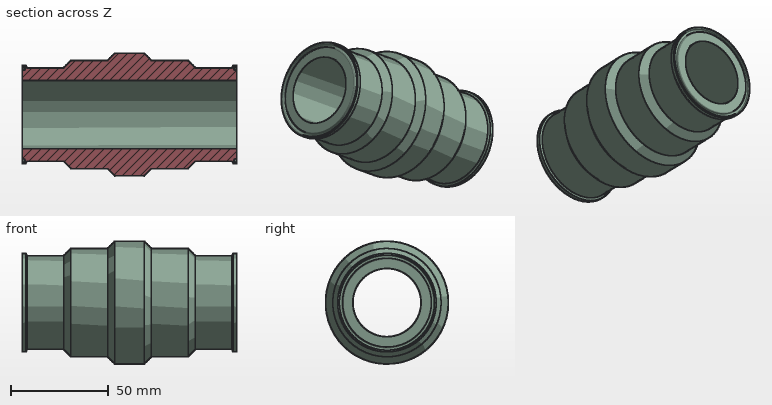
import cadquery as cq
import math

length = 110.0
bore_diameter = 34.8

hub_diameter = 63.0
shoulder_diameter = 55.5
tube_diameter = 48.0
hub_half_length = 7.5
shoulder_half_length = 30.0

flange_diameter = 50.5
flange_rim_thickness = 2.0
flange_back_angle = 25.0

groove_mean_diameter = 47.1
groove_radius = 0.8
groove_lip_radius = 0.25
groove_wall_depth = 0.7

half_length = length / 2
bore_radius = bore_diameter / 2
hub_radius = hub_diameter / 2
shoulder_radius = shoulder_diameter / 2
tube_radius = tube_diameter / 2
flange_radius = flange_diameter / 2
groove_mean_radius = groove_mean_diameter / 2

hub_foot = hub_half_length + hub_radius - shoulder_radius
shoulder_foot = shoulder_half_length + shoulder_radius - tube_radius

flange_rim_start = half_length - flange_rim_thickness
flange_back_length = (flange_radius - tube_radius) * math.tan(math.radians(flange_back_angle))
flange_foot = flange_rim_start - flange_back_length


def make_body():
    """Revolve the stepped outline, bore included, about the X axis."""
    right_outline = [
        (hub_half_length, hub_radius),
        (hub_foot, shoulder_radius),
        (shoulder_half_length, shoulder_radius),
        (shoulder_foot, tube_radius),
        (flange_foot, tube_radius),
        (flange_rim_start, flange_radius),
        (half_length, flange_radius),
        (half_length, bore_radius),
    ]
    left_outline = [(-x, radius) for x, radius in reversed(right_outline)]
    outline = cq.Workplane("XY").polyline(left_outline + right_outline).close()
    return outline.revolve(360, (0, 0, 0), (1, 0, 0))


def make_groove(face_x):
    """Round-bottomed ring with straight side walls, sunk into the end face at face_x."""
    inward = -math.copysign(1, face_x)
    wall_end_x = face_x + inward * groove_wall_depth
    bottom_x = wall_end_x + inward * groove_radius
    inner_radius = groove_mean_radius - groove_radius
    outer_radius = groove_mean_radius + groove_radius
    section = (
        cq.Workplane("XY")
        .moveTo(face_x, inner_radius)
        .lineTo(wall_end_x, inner_radius)
        .threePointArc((bottom_x, groove_mean_radius), (wall_end_x, outer_radius))
        .lineTo(face_x, outer_radius)
        .close()
    )
    return section.revolve(360, (0, 0, 0), (1, 0, 0))


def round_groove_lips(body, face_selector):
    """Round the two rims of the groove, leaving the bore and flange edges sharp."""
    lips = body.faces(face_selector).edges().filter(
        lambda edge: bore_radius + groove_lip_radius < edge.radius() < flange_radius - groove_lip_radius
    )
    return lips.fillet(groove_lip_radius)


result = make_body()
for face_x, face_selector in ((-half_length, "<X"), (half_length, ">X")):
    result = result.cut(make_groove(face_x))
    result = round_groove_lips(result, face_selector)